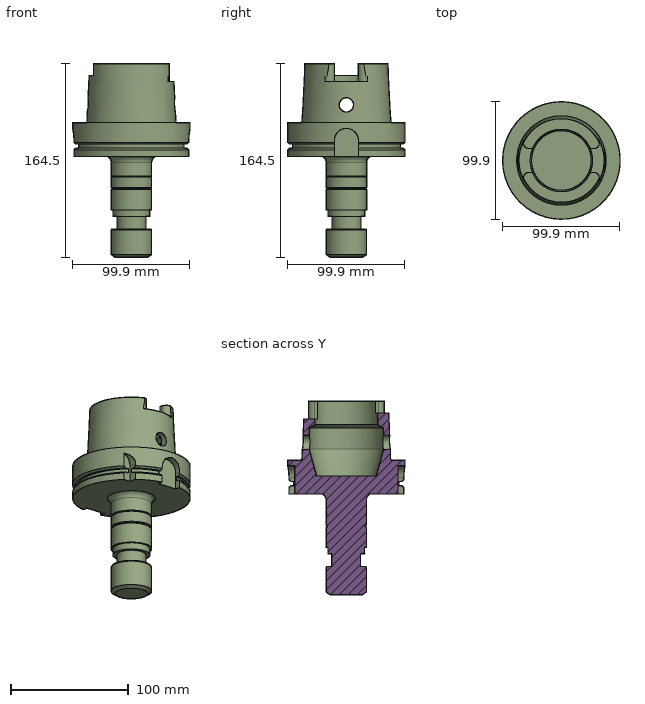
import cadquery as cq
import math


taper_length = 50.0
taper_base_radius = 38.0
taper_slope = 1 / 20
taper_tip_radius = taper_base_radius - taper_length * taper_slope
bore_radius = 53.06 / 2
clamp_radius = 63.09 / 2
clamp_shoulder_top = 30.0
clamp_shoulder_angle = 30.0
clamp_shoulder_height = (clamp_radius - bore_radius) * math.tan(math.radians(clamp_shoulder_angle))
clamp_wall_bottom = 9.3
cavity_floor_z = -13.5
cavity_floor_radius = 25.3

cross_hole_diameter = 12.0
cross_hole_z = 15.0

notch_half_width = 10.0
notch_corner_radius = 5.0
notch_corner_end_angle = 38.0
notch_reach = 32.25
shallow_notch_depth = 10.0
deep_notch_depth = 15.0

flange_radius = 99.93 / 2
flange_thickness = 29.0
groove_z = -20.0
groove_floor_radius = 46.0
groove_floor_width = 3.5
groove_shoulder_radius = 48.2
groove_mouth_width = 6.5

keyway_radius = 10.2
keyway_top_z = -5.0
keyway_floor_x = 44.0
orientation_offset = 31.6

arbor_radius = 34.6 / 2
arbor_fillet_radius = 5.6
arbor_fillet_height = 5.0
thin_groove_radius = 33.7 / 2
thin_groove_z = -45.9
thin_groove_mouth = 1.0
wide_groove_radius = 32.5 / 2
wide_groove_z = -56.2
wide_groove_mouth = 1.6
arbor_groove_floor_width = 0.3
step_radius = 31.5 / 2
step_top_z = -74.2
neck_radius = 24.87 / 2
neck_top_z = -79.8
head_top_z = -90.3
head_radius = 34.5 / 2
head_chamfer_width = 0.6
head_chamfer_height = 1.0
tip_z = -114.5
tip_chamfer_width = 3.5
tip_chamfer_height = 2.2


def revolve(profile):
    """Turn an XZ half-profile about the Z axis."""
    return profile.close().revolve(360, (0, 0, 0), (0, 1, 0))


def ring_groove(outer_radius, floor_radius, center_z, mouth_width, floor_width):
    """Ring to cut from a cylinder: a groove with sloped or square sides."""
    half_mouth = mouth_width / 2
    half_floor = floor_width / 2
    return revolve(
        cq.Workplane("XZ")
        .moveTo(outer_radius, center_z + half_mouth)
        .lineTo(floor_radius, center_z + half_floor)
        .lineTo(floor_radius, center_z - half_floor)
        .lineTo(outer_radius, center_z - half_mouth)
    )


def turned_body():
    """Taper, flange and arbor as one turned solid."""
    fillet_center_radius = arbor_radius + arbor_fillet_radius
    fillet_center_z = -flange_thickness - arbor_fillet_height
    fillet_angle = math.asin(arbor_fillet_height / arbor_fillet_radius)

    def fillet_point(angle):
        return (
            fillet_center_radius - arbor_fillet_radius * math.cos(angle),
            fillet_center_z + arbor_fillet_radius * math.sin(angle),
        )

    return revolve(
        cq.Workplane("XZ")
        .moveTo(0, taper_length)
        .lineTo(taper_tip_radius, taper_length)
        .lineTo(taper_base_radius, 0)
        .lineTo(flange_radius, 0)
        .lineTo(flange_radius, -flange_thickness)
        .lineTo(*fillet_point(fillet_angle))
        .threePointArc(fillet_point(fillet_angle / 2), fillet_point(0))
        .lineTo(arbor_radius, step_top_z)
        .lineTo(step_radius, step_top_z)
        .lineTo(step_radius, neck_top_z)
        .lineTo(neck_radius, neck_top_z)
        .lineTo(neck_radius, head_top_z)
        .lineTo(head_radius - head_chamfer_width, head_top_z)
        .lineTo(head_radius, head_top_z - head_chamfer_height)
        .lineTo(head_radius, tip_z + tip_chamfer_height)
        .lineTo(head_radius - tip_chamfer_width, tip_z)
        .lineTo(0, tip_z)
    )


def gripper_groove():
    """Square groove whose edges widen to a sloped mouth."""
    mouth = ring_groove(
        flange_radius, groove_shoulder_radius, groove_z, groove_mouth_width, groove_floor_width
    )
    square = ring_groove(
        groove_shoulder_radius, groove_floor_radius, groove_z, groove_floor_width, groove_floor_width
    )
    return mouth.union(square)


def clamping_cavity():
    """Bore that opens into a wider clamping chamber with a conical bottom."""
    return revolve(
        cq.Workplane("XZ")
        .moveTo(0, taper_length)
        .lineTo(bore_radius, taper_length)
        .lineTo(bore_radius, clamp_shoulder_top)
        .lineTo(clamp_radius, clamp_shoulder_top - clamp_shoulder_height)
        .lineTo(clamp_radius, clamp_wall_bottom)
        .lineTo(cavity_floor_radius, cavity_floor_z)
        .lineTo(0, cavity_floor_z)
    )


def cross_hole():
    """Hole along X through both sides of the taper wall."""
    return (
        cq.Workplane("YZ")
        .center(0, cross_hole_z)
        .circle(cross_hole_diameter / 2)
        .extrude(taper_base_radius, both=True)
    )


def drive_notch(depth):
    """Notch in the +X side of the rim, leaving wall ends rounded in plan."""
    bottom_z = taper_length - depth
    corner_x = notch_reach - notch_corner_radius
    corner_y = notch_half_width + notch_corner_radius
    outer_x = taper_base_radius
    end_angle = math.radians(notch_corner_end_angle)
    end_x = corner_x + notch_corner_radius * math.cos(end_angle)
    end_y = corner_y + notch_corner_radius * math.sin(end_angle)
    upper_half = (
        cq.Workplane("XY", origin=(0, 0, bottom_z))
        .lineTo(0, notch_half_width)
        .lineTo(corner_x, notch_half_width)
        .threePointArc((notch_reach, corner_y), (end_x, end_y))
        .lineTo(outer_x, end_y)
        .lineTo(outer_x, 0)
        .close()
        .extrude(depth)
    )
    return upper_half.union(upper_half.mirror("XZ"))


def flange_pocket(floor_x, center_y):
    """Pocket from the -X side with a flat floor and a round upper end."""
    center_z = keyway_top_z - keyway_radius
    depth = flange_radius - floor_x
    start = cq.Workplane("YZ", origin=(-flange_radius, 0, 0))
    round_end = start.center(center_y, center_z).circle(keyway_radius).extrude(depth)
    height = center_z + flange_thickness
    straight = (
        start.center(center_y, center_z - height / 2)
        .rect(2 * keyway_radius, height)
        .extrude(depth)
    )
    return round_end.union(straight)


result = turned_body()
result = result.cut(clamping_cavity())
result = result.cut(cross_hole())
result = result.cut(drive_notch(deep_notch_depth))
result = result.cut(drive_notch(shallow_notch_depth).mirror("YZ"))
result = result.cut(gripper_groove())
for floor_radius, center_z, mouth_width in (
    (thin_groove_radius, thin_groove_z, thin_groove_mouth),
    (wide_groove_radius, wide_groove_z, wide_groove_mouth),
):
    result = result.cut(
        ring_groove(arbor_radius, floor_radius, center_z, mouth_width, arbor_groove_floor_width)
    )

keyway = flange_pocket(keyway_floor_x, 0)
result = result.cut(keyway).cut(keyway.mirror("YZ"))
result = result.cut(flange_pocket(orientation_offset, orientation_offset + keyway_radius))